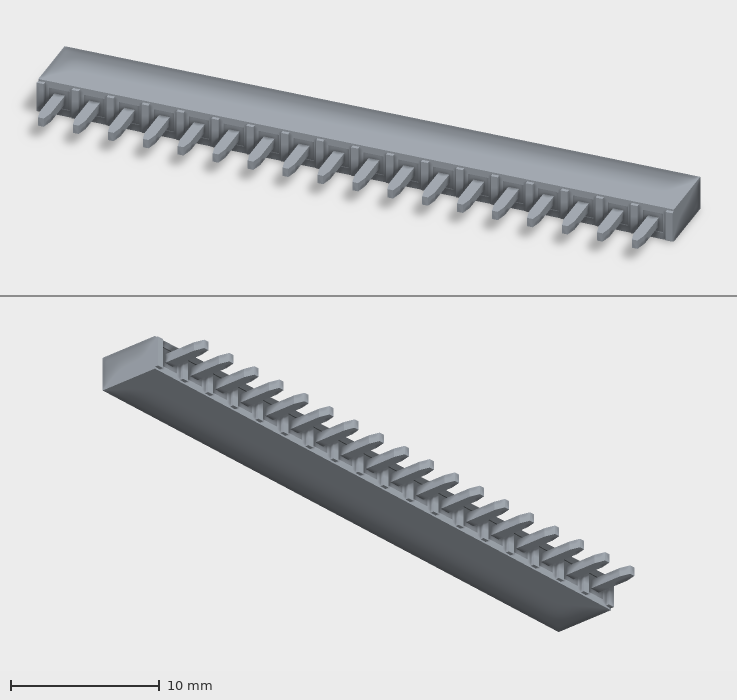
import cadquery as cq

HOUSING_LENGTH = 46.2
PIN_COUNT = 18
HOUSING_DEPTH = 4.7
HOUSING_HEIGHT = 2.5

RIB_WIDTH = 0.5
RIB_LENGTH = 0.3
RIB_HEIGHT = 2.2

POCKET_SIZE = 1.5
POCKET_DEPTH = 0.1

PIN_WIDTH = 0.8
PIN_HEIGHT = 0.65
PIN_LENGTH = 3.3
TIP_WIDTH = 0.4
TIP_LENGTH = 0.8

PITCH = (HOUSING_LENGTH - RIB_WIDTH) / PIN_COUNT
FIRST_PIN_X = -(PIN_COUNT - 1) * PITCH / 2
FIRST_RIB_X = -PIN_COUNT * PITCH / 2

pin_places = [(FIRST_PIN_X + i * PITCH, 0) for i in range(PIN_COUNT)]
rib_places = [(FIRST_RIB_X + i * PITCH, 0) for i in range(PIN_COUNT + 1)]


def housing():
    """Plain bar reaching back from the pin-side face."""
    return cq.Workplane("XY").box(
        HOUSING_LENGTH, HOUSING_DEPTH, HOUSING_HEIGHT, centered=(True, False, True)
    )


def ribs():
    """Upright ribs on the pin-side face, slightly shorter than the housing is high."""
    rib = cq.Workplane("XY").box(RIB_WIDTH, RIB_LENGTH, RIB_HEIGHT)
    rib = rib.translate((0, -RIB_LENGTH / 2, 0))
    return cq.Workplane("XY").pushPoints(rib_places).eachpoint(rib.val())


def pockets():
    """Square recesses that surround the pin roots."""
    pocket = cq.Workplane("XY").box(
        POCKET_SIZE, POCKET_DEPTH, POCKET_SIZE, centered=(True, False, True)
    )
    return cq.Workplane("XY").pushPoints(pin_places).eachpoint(pocket.val())


def pins():
    """Rectangular pins from the pocket floors, narrowing across X at the tip."""
    half_width = PIN_WIDTH / 2
    half_tip = TIP_WIDTH / 2
    shoulder_y = TIP_LENGTH - PIN_LENGTH
    outline = [
        (-half_width, POCKET_DEPTH),
        (-half_width, shoulder_y),
        (-half_tip, -PIN_LENGTH),
        (half_tip, -PIN_LENGTH),
        (half_width, shoulder_y),
        (half_width, POCKET_DEPTH),
    ]
    pin = cq.Workplane("XY").polyline(outline).close().extrude(PIN_HEIGHT / 2, both=True)
    return cq.Workplane("XY").pushPoints(pin_places).eachpoint(pin.val())


result = housing().cut(pockets()).union(ribs()).union(pins())